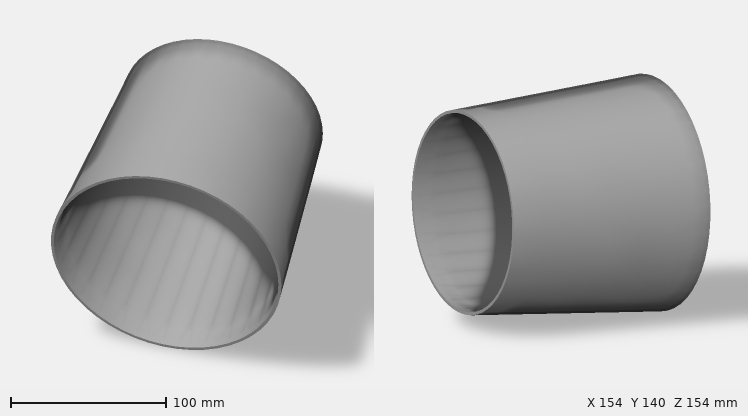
import cadquery as cq

wide_diameter = 154.0
narrow_diameter = 133.0
wall_thickness = 2.0
length = 140.0


def cone_frustum(start_diameter, end_diameter):
    """Solid cone frustum along +Y, centred on the Y axis."""
    start_circle = cq.Workplane("XZ").circle(start_diameter / 2)
    return start_circle.workplane(offset=-length).circle(end_diameter / 2).loft(ruled=True)


outer_cone = cone_frustum(wide_diameter, narrow_diameter)
bore = cone_frustum(wide_diameter - 2 * wall_thickness, narrow_diameter - 2 * wall_thickness)

result = outer_cone.cut(bore)